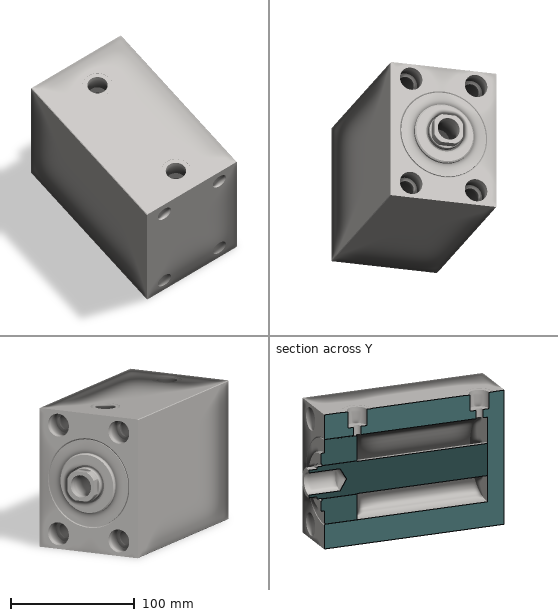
import cadquery as cq
import math

TOTAL_LENGTH = 171.5
ROD_STICKOUT = 13.5
HOUSING_LENGTH = TOTAL_LENGTH - ROD_STICKOUT
HOUSING_WIDTH = 90.0
HOUSING_HEIGHT = 115.0
HOUSING_EDGE_CHAMFER = 0.5

BORE_DIAMETER = 72.0
BORE_CHAMFER = 1.0
END_WALL = 15.0
BORE_DEPTH = HOUSING_LENGTH - END_WALL

MOUNT_SPACING_Y = 55.0
MOUNT_SPACING_Z = 90.0
MOUNT_HOLE_DIAMETER = 13.2
MOUNT_COUNTERBORE_DIAMETER = 19.0
MOUNT_COUNTERBORE_DEPTH = 14.0

FRONT_PORT_X = 29.2
PORT_SPACING = 107.0
PORT_SPOTFACE_DIAMETER = 24.0
PORT_SPOTFACE_DEPTH = 0.2
PORT_THREAD_DIAMETER = 16.5
PORT_THREAD_DEPTH = 14.0
PORT_OIL_HOLE_DIAMETER = 6.0

GLAND_BOSS_DIAMETER = 50.0
GLAND_BOSS_HEIGHT = 3.1
GLAND_BOSS_CHAMFER = 1.0
GLAND_END_X = FRONT_PORT_X
WIPER_DIAMETER = 31.2
WIPER_DEPTH = 1.0

ROD_DIAMETER = 28.0
ROD_SHOULDER_CHAMFER = 0.5
WRENCH_LENGTH = 7.0
WRENCH_ACROSS_FLATS = 24.0
WRENCH_CORNER_DIAMETER = ROD_DIAMETER - 2 * ROD_SHOULDER_CHAMFER
WRENCH_TIP_CHAMFER = 0.3
TAPPED_HOLE_DIAMETER = 18.5
TAPPED_HOLE_DEPTH = 27.5
DRILL_POINT_ANGLE = 118.0


def cylinder_x(diameter, start, end):
    """Cylinder on the X axis between two X positions."""
    return cq.Workplane("YZ", origin=(start, 0, 0)).circle(diameter / 2).extrude(end - start)


def make_port_cutter(x):
    """Spotface, threaded bore and oil hole, from the top face down into the bore."""
    top = HOUSING_HEIGHT / 2
    plane = cq.Workplane("XY", origin=(x, 0, top))
    spotface = plane.circle(PORT_SPOTFACE_DIAMETER / 2).extrude(-PORT_SPOTFACE_DEPTH)
    thread = plane.circle(PORT_THREAD_DIAMETER / 2).extrude(-PORT_THREAD_DEPTH)
    oil_hole = plane.circle(PORT_OIL_HOLE_DIAMETER / 2).extrude(-top)
    return spotface.union(thread).union(oil_hole)


def make_housing():
    block = (
        cq.Workplane("XY")
        .box(HOUSING_LENGTH, HOUSING_WIDTH, HOUSING_HEIGHT, centered=(False, True, True))
        .edges("|X")
        .chamfer(HOUSING_EDGE_CHAMFER)
    )
    block = (
        block.faces("<X")
        .workplane(centerOption="CenterOfBoundBox")
        .rect(MOUNT_SPACING_Y, MOUNT_SPACING_Z, forConstruction=True)
        .vertices()
        .cboreHole(MOUNT_HOLE_DIAMETER, MOUNT_COUNTERBORE_DIAMETER, MOUNT_COUNTERBORE_DEPTH)
    )
    block = block.cut(cylinder_x(BORE_DIAMETER, 0, BORE_DEPTH))
    block = block.faces("<X").edges(cq.selectors.RadiusNthSelector(-1)).chamfer(BORE_CHAMFER)
    for x in (FRONT_PORT_X, FRONT_PORT_X + PORT_SPACING):
        block = block.cut(make_port_cutter(x))
    return block


def make_gland():
    boss = cylinder_x(GLAND_BOSS_DIAMETER, -GLAND_BOSS_HEIGHT, GLAND_END_X)
    boss = boss.faces("<X").chamfer(GLAND_BOSS_CHAMFER)
    gland = boss.union(cylinder_x(BORE_DIAMETER, 0, GLAND_END_X))
    wiper_recess = cylinder_x(WIPER_DIAMETER, -GLAND_BOSS_HEIGHT, WIPER_DEPTH - GLAND_BOSS_HEIGHT)
    rod_hole = cylinder_x(ROD_DIAMETER, -GLAND_BOSS_HEIGHT, GLAND_END_X)
    return gland.cut(wiper_recess).cut(rod_hole)


def make_tapped_hole_cutter():
    """Blind hole with a conical drill point, turned about X."""
    radius = TAPPED_HOLE_DIAMETER / 2
    mouth = -ROD_STICKOUT
    bottom = mouth + TAPPED_HOLE_DEPTH
    point = bottom + radius / math.tan(math.radians(DRILL_POINT_ANGLE / 2))
    return (
        cq.Workplane("XY")
        .moveTo(mouth, 0)
        .lineTo(mouth, radius)
        .lineTo(bottom, radius)
        .lineTo(point, 0)
        .close()
        .revolve(360, (0, 0, 0), (1, 0, 0))
    )


def make_rod():
    shoulder_x = WRENCH_LENGTH - ROD_STICKOUT
    shank = cylinder_x(ROD_DIAMETER, shoulder_x, BORE_DEPTH)
    shank = shank.faces("<X").chamfer(ROD_SHOULDER_CHAMFER)
    square = (
        cq.Workplane("YZ", origin=(-ROD_STICKOUT, 0, 0))
        .rect(WRENCH_ACROSS_FLATS, WRENCH_ACROSS_FLATS)
        .extrude(WRENCH_LENGTH)
    )
    corners = cylinder_x(WRENCH_CORNER_DIAMETER, -ROD_STICKOUT, shoulder_x)
    corners = corners.faces("<X").chamfer(WRENCH_TIP_CHAMFER)
    wrench = square.intersect(corners)
    return shank.union(wrench).cut(make_tapped_hole_cutter())


housing = make_housing()
gland = make_gland()
rod = make_rod()

result = cq.Compound.makeCompound([housing.val(), gland.val(), rod.val()])